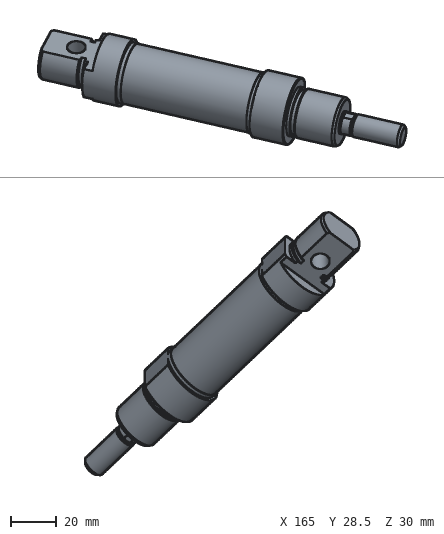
import cadquery as cq


rear_stub_end = 22.0
rear_collar_end = 37.3
front_collar_start = 99.3
front_collar_end = 114.8
nose_end = 137.0
rod_tip = 165.0

collar_radius = 15.0
collar_flat_offset = 13.5
collar_edge_chamfer = 0.3
band_radius = 13.7
band_length = 2.0
thread_radius = 11.0
thread_chamfer_length = 1.2
thread_chamfer_depth = 0.7
relief_radius = 9.9
relief_width = 2.0
relief_chamfer = 0.5
shoulder_length = 1.5

tongue_thickness = 16.2
tongue_end = 25.9
eye_x = 14.0
eye_diameter = 8.1

barrel_radius = 13.5

rod_radius = 5.1
rod_tip_chamfer_length = 1.2
rod_tip_chamfer_depth = 1.0
neck_radius = 5.0
neck_start = 137.8
flats_across = 9.2
rod_groove_start = 141.9
rod_groove_bottom = 142.5
rod_groove_end = 143.2
rod_groove_depth = 0.7

barrel_start = rear_collar_end + band_length
barrel_end = front_collar_start - band_length


def turned(profile):
    """Revolve (x, radius) points about the X axis, closing the profile on the axis."""
    start = (profile[0][0], 0)
    end = (profile[-1][0], 0)
    outline = cq.Workplane("XZ").polyline([start, *profile, end]).close()
    return outline.revolve(360, (0, 0, 0), (1, 0, 0))


def slab_pair(x_start, x_end, inner_thickness):
    """Cutters that leave only a layer of the given thickness, centred on Z = 0."""
    length = x_end - x_start
    depth = 2 * collar_radius
    centre_z = inner_thickness / 2 + collar_radius / 2
    slab = cq.Workplane("XY").box(length, depth, collar_radius)
    upper = slab.translate(((x_start + x_end) / 2, 0, centre_z))
    return upper.union(upper.mirror("XY"))


def cut_side_flat(cap):
    """Flatten the +Y side of a cap with a block as long as the whole cylinder."""
    flat_cutter = cq.Workplane("XY").box(rod_tip, collar_radius, 2 * collar_radius)
    offset_y = collar_flat_offset + collar_radius / 2
    return cap.cut(flat_cutter.translate((rod_tip / 2, offset_y, 0)))


def make_rear_cap():
    relief_end = rear_stub_end - shoulder_length
    relief_start = relief_end - relief_width
    cap = turned(
        [
            (0, thread_radius - thread_chamfer_depth),
            (thread_chamfer_length, thread_radius),
            (relief_start - relief_chamfer, thread_radius),
            (relief_start, thread_radius - relief_chamfer),
            (relief_start, relief_radius),
            (relief_end, relief_radius),
            (relief_end, thread_radius),
            (rear_stub_end, thread_radius),
            (rear_stub_end, collar_radius),
            (rear_collar_end, collar_radius),
            (rear_collar_end, band_radius),
            (barrel_start, band_radius),
        ]
    )
    cap = cut_side_flat(cap)
    cap = cap.cut(slab_pair(0, tongue_end, tongue_thickness))
    eye = cq.Workplane("XY").center(eye_x, 0).circle(eye_diameter / 2)
    return cap.cut(eye.extrude(tongue_thickness / 2, both=True))


def make_barrel():
    return turned([(barrel_start, barrel_radius), (barrel_end, barrel_radius)])


def make_front_cap():
    relief_start = front_collar_end + shoulder_length
    relief_end = relief_start + relief_width
    cap = turned(
        [
            (barrel_end, band_radius),
            (front_collar_start, band_radius),
            (front_collar_start, collar_radius),
            (front_collar_end - collar_edge_chamfer, collar_radius),
            (front_collar_end, collar_radius - collar_edge_chamfer),
            (front_collar_end, thread_radius),
            (relief_start, thread_radius),
            (relief_start, relief_radius),
            (relief_end, relief_radius),
            (relief_end, thread_radius - relief_chamfer),
            (relief_end + relief_chamfer, thread_radius),
            (nose_end - thread_chamfer_length, thread_radius),
            (nose_end, thread_radius - thread_chamfer_depth),
        ]
    )
    return cut_side_flat(cap)


def make_rod():
    rod = turned(
        [
            (nose_end, rod_radius),
            (neck_start, rod_radius),
            (neck_start, neck_radius),
            (rod_groove_start, neck_radius),
            (rod_groove_bottom, rod_radius - rod_groove_depth),
            (rod_groove_end, rod_radius),
            (rod_tip - rod_tip_chamfer_length, rod_radius),
            (rod_tip, rod_radius - rod_tip_chamfer_depth),
        ]
    )
    return rod.cut(slab_pair(neck_start, rod_groove_bottom, flats_across))


rear_cap = make_rear_cap()
barrel = make_barrel()
front_cap = make_front_cap()
rod = make_rod()

result = cq.Compound.makeCompound([rear_cap.val(), barrel.val(), front_cap.val(), rod.val()])